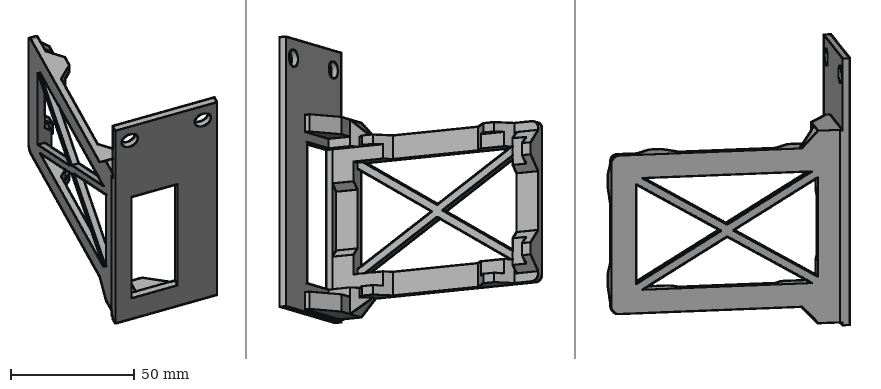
import cadquery as cq

overall_length = 98.0
plate_thickness = 3.0
plate_width = 44.4
plate_height = 111.0
hole_diameter = 7.0
hole_positions = [(6.3, 103.0), (38.2, 103.0)]
slot_top_y = 27.2

lip_width = 1.0

frame_front_y = lip_width
sheet_thickness = 3.1
step = 3.0
frame_back_y = frame_front_y + sheet_thickness
shelf_y = frame_back_y + step
rim_y = shelf_y + step
frame_end_x = overall_length - plate_thickness
center_z = 41.1
half_height = 33.0
flare_half_height = 40.1
flare_start_x = 78.3
shoulder_x = 85.0
corner_radius = 3.0

window_start_x = 10.2
window_half_height = 23.2
brace_inset = 2.5

pocket_start_x = 4.0
pocket_half_height = 29.1
tab_base = 17.0
tab_rise = rim_y - frame_back_y
side_tab_starts_x = [11.2, 68.3]
end_tab_offset = pocket_half_height - tab_base

gusset_shoulder_y = 16.9
gusset_top_y = 29.0
gusset_top_x = 93.0


def box(x0, x1, y0, y1, z0, z1):
    return cq.Workplane("XY").box(x1 - x0, y1 - y0, z1 - z0, centered=False).translate((x0, y0, z0))


def extrude_y(points, y0, y1):
    """Extrude an (X, Z) outline from y0 to y1."""
    return cq.Workplane("XZ", origin=(0, y0, 0)).polyline(points).close().extrude(y0 - y1)


def extrude_z(points, z0, z1):
    """Extrude an (X, Y) outline from z0 to z1."""
    return cq.Workplane("XY", origin=(0, 0, z0)).polyline(points).close().extrude(z1 - z0)


def extrude_x(points, x0, x1):
    """Extrude a (Y, Z) outline from x0 to x1."""
    return cq.Workplane("YZ", origin=(x0, 0, 0)).polyline(points).close().extrude(x1 - x0)


def board_pocket():
    """Room for a board that slides along X over the shelf and through the plate."""
    return box(pocket_start_x, overall_length, shelf_y, slot_top_y,
               center_z - pocket_half_height, center_z + pocket_half_height)


def frame_outline(y0, y1):
    upper = [
        (0, center_z + half_height),
        (flare_start_x, center_z + half_height),
        (shoulder_x, center_z + flare_half_height),
        (frame_end_x, center_z + flare_half_height),
    ]
    lower = [(x, 2 * center_z - z) for x, z in reversed(upper)]
    return extrude_y(upper + lower, y0, y1)


def braced_window():
    """Four triangular openings that leave two crossed braces."""
    center_x = (window_start_x + shoulder_x) / 2
    half_width = (shoulder_x - window_start_x) / 2
    openings = cq.Workplane("XY")
    for side in (-1, 1):
        apex_x = center_x + side * brace_inset
        base_x = center_x + side * half_width
        base_half = window_half_height - brace_inset
        openings = openings.add(extrude_y(
            [(apex_x, center_z), (base_x, center_z + base_half), (base_x, center_z - base_half)],
            frame_front_y, frame_back_y))
        apex_z = center_z + side * brace_inset
        base_z = center_z + side * window_half_height
        base_half = half_width - brace_inset
        openings = openings.add(extrude_y(
            [(center_x, apex_z), (center_x + base_half, base_z), (center_x - base_half, base_z)],
            frame_front_y, frame_back_y))
    return openings.combine()


def tab_profile(start):
    """Trapezoid on the back of the frame, as (distance along the edge, Y)."""
    end = start + tab_base
    return [(start, frame_back_y), (start + tab_rise, rim_y), (end - tab_rise, rim_y), (end, frame_back_y)]


def side_tab(start_x, side):
    edges = sorted([center_z + side * window_half_height, center_z + side * half_height])
    return extrude_z(tab_profile(start_x), *edges)


def end_tab(x0, x1, side):
    profile = [(y, center_z + side * along) for along, y in tab_profile(end_tab_offset)]
    return extrude_x(profile, x0, x1)


def shoulder_ramp():
    """45-degree ramp behind the flare, split in two by the height of the window."""
    profile = [
        (shoulder_x - tab_rise, frame_back_y),
        (shoulder_x, rim_y),
        (frame_end_x, rim_y),
        (frame_end_x, frame_back_y),
    ]
    ramp = extrude_z(profile, center_z - flare_half_height, center_z + flare_half_height)
    ramp = ramp.intersect(frame_outline(frame_back_y, rim_y))
    return ramp.cut(box(0, frame_end_x, frame_back_y, rim_y,
                        center_z - window_half_height, center_z + window_half_height))


def gusset(side):
    profile = [
        (shoulder_x, frame_front_y),
        (shoulder_x, gusset_shoulder_y),
        (gusset_top_x, gusset_top_y),
        (frame_end_x, gusset_top_y),
        (frame_end_x, frame_front_y),
    ]
    edges = sorted([center_z + side * half_height, center_z + side * flare_half_height])
    return extrude_z(profile, *edges)


def make_frame():
    sheet = frame_outline(frame_front_y, frame_back_y)
    sheet = sheet.edges("|Y and <X").fillet(corner_radius)
    body = sheet.cut(braced_window()).union(shoulder_ramp())
    for side in (-1, 1):
        body = body.union(gusset(side))
        body = body.union(end_tab(0, window_start_x, side))
        body = body.union(end_tab(shoulder_x, frame_end_x, side))
        for start_x in side_tab_starts_x:
            body = body.union(side_tab(start_x, side))
    return body.cut(board_pocket())


def make_plate():
    slab = box(frame_end_x, overall_length, 0, plate_width, 0, plate_height)
    lip = box(frame_end_x - lip_width, frame_end_x, 0, frame_front_y,
              center_z - flare_half_height, center_z + flare_half_height)
    holes = (
        cq.Workplane("YZ", origin=(frame_end_x, 0, 0))
        .pushPoints(hole_positions)
        .circle(hole_diameter / 2)
        .extrude(plate_thickness)
    )
    return slab.union(lip).cut(holes).cut(board_pocket())


frame = make_frame()
plate = make_plate()
result = cq.Compound.makeCompound([*frame.solids().vals(), *plate.solids().vals()])